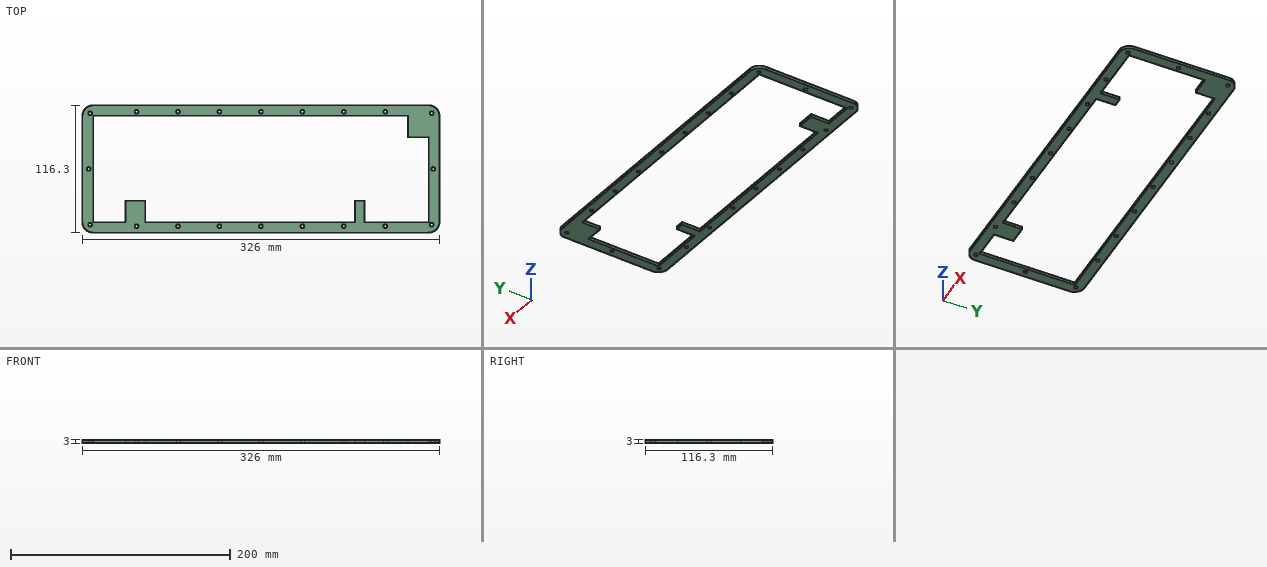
import cadquery as cq

length = 326.0
width = 116.3
thickness = 3.0
corner_radius = 10.0

side_rail = 10.0
long_rail = 9.8
window_right = length / 2 - side_rail
window_top = width / 2 - long_rail

reach = 19.5
wide_tab_left = -123.5
wide_tab_width = 18.2
narrow_tab_left = 85.7
narrow_tab_width = 8.8
pad_width = 19.0

hole_diameter = 3.3
long_rail_hole_count = 7
long_rail_hole_pitch = 37.8
long_rail_hole_y = 52.0
corner_hole_x = 155.8
corner_hole_y = 50.8
side_hole_x = 157.0


def block(left, bottom, size_x, size_y):
    """Full-thickness block located by its lower-left corner."""
    return cq.Workplane("XY").box(size_x, size_y, thickness, centered=False).translate((left, bottom, 0))


def make_frame():
    """Rounded plate with a sharp-cornered window."""
    plate = cq.Workplane("XY").box(length, width, thickness, centered=(True, True, False))
    plate = plate.edges("|Z").fillet(corner_radius)
    window = block(-window_right, -window_top, 2 * window_right, 2 * window_top)
    return plate.cut(window)


def add_tabs(frame):
    """Two tabs on the -Y rail, each rooted at the rail's outer edge."""
    tabs = ((wide_tab_left, wide_tab_width), (narrow_tab_left, narrow_tab_width))
    for left, tab_width in tabs:
        frame = frame.union(block(left, -width / 2, tab_width, long_rail + reach))
    return frame


def add_corner_pad(frame):
    """Pad in the +X +Y corner, overlapping the rails inside the rounded corner."""
    overlap = long_rail / 2
    pad = block(
        window_right - pad_width,
        window_top - reach,
        pad_width + overlap,
        reach + overlap,
    )
    return frame.union(pad)


def hole_centers():
    """Centers along both long rails, at the corners and midway on the short rails."""
    centers = [(-side_hole_x, 0), (side_hole_x, 0)]
    middle = (long_rail_hole_count - 1) / 2
    for side in (-1, 1):
        for index in range(long_rail_hole_count):
            x = (index - middle) * long_rail_hole_pitch
            centers.append((x, side * long_rail_hole_y))
        for end in (-1, 1):
            centers.append((end * corner_hole_x, side * corner_hole_y))
    return centers


frame = add_corner_pad(add_tabs(make_frame()))
holes = cq.Workplane("XY").pushPoints(hole_centers()).circle(hole_diameter / 2).extrude(thickness)
result = frame.cut(holes)